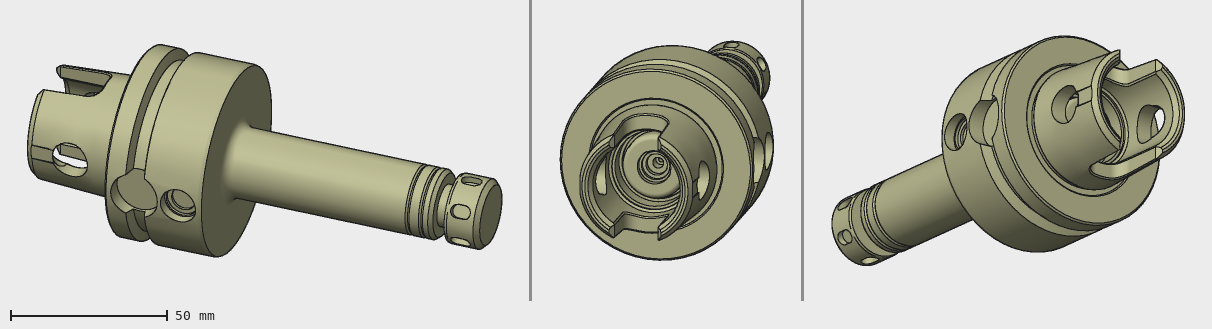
import cadquery as cq


total_length = 152.0
taper_end = 30.4
flange_start = 31.8
flange_end = 64.9
stem_end = 136.2
nut_start = 140.3

taper_base_radius = 20.2
taper_slope = 1 / 18
taper_tip_radius = 17.3
tip_chamfer_length = 2.0
undercut_radius = 19.6
face_relief_radius = 22.0
face_relief_depth = 0.5

flange_radius = 31.5
flange_edge_chamfer = 0.6
flange_rear_chamfer_length = 1.0
flange_rear_chamfer_height = 0.3
groove_center = 42.0
groove_mouth_width = 6.4
groove_floor_width = 4.0
groove_floor_radius = 28.0

stem_radius = 11.5
stem_fillet = 3.2
ring_groove_starts = (127.0, 131.6)
ring_groove_width = 1.4
ring_groove_depth = 0.5
stem_chamfer_length = 1.4
stem_chamfer_height = 1.0
neck_radius = 7.0
nut_radius = stem_radius
nut_rear_chamfer_length = 0.9
nut_rear_chamfer_height = 0.3
nut_front_chamfer = 1.7
wrench_slot_count = 6
wrench_slot_center = 145.5
wrench_slot_length = 6.7
wrench_slot_width = 4.4
wrench_slot_depth = 2.3

bore_radius = 14.3
mouth_radius = 16.4
mouth_lip_radius = 15.5
mouth_lip_length = 0.5
mouth_chamfer_length = 2.3
bore_end = 26.1
middle_bore_radius = 13.4
middle_bore_start = 26.6
inner_bore_radius = 12.5
inner_bore_start = 27.4
inner_bore_end = 33.5
floor_bore_radius = 23.0 / 2
cavity_floor = 35.0
boss_radius = 10.5
boss_height = 6.1
boss_rim_radius = 1.7
boss_bores = ((11.0, 2.3), (9.3, 3.8), (7.0, 6.1), (3.5, 10.6), (1.7, 15.2))

drive_slot_half_width = 7.1
drive_slot_end = 20.2
drive_slot_corner = 4.1
drive_slot_edge_chamfer = 0.5
drive_slot_flare_length = 1.8
drive_slot_flare_height = 1.4

cross_hole_diameter = 12.5
cross_hole_center = 15.2
cross_hole_tilt = 30.0
tilted_hole_diameter = 10.6
tilted_hole_length = 9.1
flat_width = 5.0
flat_radius = 18.4
pocket_diameter = 16.0
pocket_floor = 25.8
screw_hole_center = 57.0
screw_hole_steps = ((12.0, 27.7), (11.0, 26.6), (8.0, 25.7))


def taper_radius(x):
    return taper_base_radius - taper_slope * (taper_end - x)


def revolve_about_x(profile):
    return profile.close().revolve(360, (0, 0, 0), (1, 0, 0))


def cylinder(diameter, y_inner, y_outer, x):
    """Cylinder along +Y between two distances from the axis."""
    return (
        cq.Workplane("XZ", origin=(x, y_inner, 0))
        .circle(diameter / 2)
        .extrude(y_inner - y_outer)
    )


def both_sides(cutter):
    return cutter.union(cutter.rotate((0, 0, 0), (1, 0, 0), 180))


def make_outer_body():
    mouth = groove_mouth_width / 2
    floor = groove_floor_width / 2
    profile = (
        cq.Workplane("XY")
        .moveTo(0, 0)
        .lineTo(0, taper_tip_radius)
        .lineTo(tip_chamfer_length, taper_radius(tip_chamfer_length))
        .lineTo(taper_end, taper_base_radius)
        .lineTo(taper_end + taper_base_radius - undercut_radius, undercut_radius)
        .lineTo(flange_start + face_relief_depth, undercut_radius)
        .lineTo(flange_start + face_relief_depth, face_relief_radius - face_relief_depth)
        .lineTo(flange_start, face_relief_radius)
        .lineTo(flange_start, flange_radius - flange_edge_chamfer)
        .lineTo(flange_start + flange_edge_chamfer, flange_radius)
        .lineTo(groove_center - mouth, flange_radius)
        .lineTo(groove_center - floor, groove_floor_radius)
        .lineTo(groove_center + floor, groove_floor_radius)
        .lineTo(groove_center + mouth, flange_radius)
        .lineTo(flange_end - flange_rear_chamfer_length, flange_radius)
        .lineTo(flange_end, flange_radius - flange_rear_chamfer_height)
        .lineTo(flange_end, stem_radius + stem_fillet)
        .radiusArc((flange_end + stem_fillet, stem_radius), -stem_fillet)
    )
    for start in ring_groove_starts:
        profile = (
            profile.lineTo(start, stem_radius)
            .lineTo(start + ring_groove_width / 2, stem_radius - ring_groove_depth)
            .lineTo(start + ring_groove_width, stem_radius)
        )
    profile = (
        profile.lineTo(stem_end - stem_chamfer_length, stem_radius)
        .lineTo(stem_end, stem_radius - stem_chamfer_height)
        .lineTo(stem_end, neck_radius)
        .lineTo(nut_start, neck_radius)
        .lineTo(nut_start, nut_radius - nut_rear_chamfer_height)
        .lineTo(nut_start + nut_rear_chamfer_length, nut_radius)
        .lineTo(total_length - nut_front_chamfer, nut_radius)
        .lineTo(total_length, nut_radius - nut_front_chamfer)
        .lineTo(total_length, 0)
    )
    return revolve_about_x(profile)


def make_cavity():
    """Stepped bore with a round-rimmed boss standing on its floor."""
    boss_face = cavity_floor - boss_height
    rim_start = boss_radius - boss_rim_radius
    cavity = revolve_about_x(
        cq.Workplane("XY")
        .moveTo(0, 0)
        .lineTo(0, mouth_radius)
        .lineTo(mouth_lip_length, mouth_lip_radius)
        .lineTo(mouth_chamfer_length, bore_radius)
        .lineTo(bore_end, bore_radius)
        .lineTo(middle_bore_start, middle_bore_radius)
        .lineTo(inner_bore_start, middle_bore_radius)
        .lineTo(inner_bore_start, inner_bore_radius)
        .lineTo(inner_bore_end, inner_bore_radius)
        .lineTo(inner_bore_end, floor_bore_radius)
        .lineTo(cavity_floor, floor_bore_radius)
        .lineTo(cavity_floor, boss_radius)
        .lineTo(boss_face + boss_rim_radius, boss_radius)
        .radiusArc((boss_face, rim_start), -boss_rim_radius)
        .lineTo(boss_face, 0)
    )
    for diameter, depth in boss_bores:
        bore = cq.Workplane("YZ", origin=(boss_face, 0, 0)).circle(diameter / 2).extrude(depth)
        cavity = cavity.union(bore)
    return cavity


def make_drive_slot():
    """Slot across the taper along Z, flared at the open end."""
    half = drive_slot_half_width
    flared = half + drive_slot_flare_height
    return (
        cq.Workplane("XY", origin=(0, 0, -flange_radius))
        .moveTo(0, -flared)
        .lineTo(drive_slot_flare_length, -half)
        .lineTo(drive_slot_end, -half)
        .lineTo(drive_slot_end, half)
        .lineTo(drive_slot_flare_length, half)
        .lineTo(0, flared)
        .close()
        .extrude(2 * flange_radius)
        .edges("|Z and >X")
        .fillet(drive_slot_corner)
    )


def make_cross_hole():
    hole = cylinder(cross_hole_diameter, 0, flange_radius, cross_hole_center)
    flat = cq.Workplane("XY").box(
        cross_hole_center, flange_radius, flat_width, centered=(False, False, True)
    )
    pivot = (cross_hole_center, flat_radius, 0)
    pivot_axis_end = (cross_hole_center, flat_radius, 1)
    tilted = cylinder(
        tilted_hole_diameter, flat_radius - tilted_hole_length, flat_radius, cross_hole_center
    ).rotate(pivot, pivot_axis_end, -cross_hole_tilt)
    return both_sides(hole.union(tilted).union(flat.translate((0, flat_radius, 0))))


def make_flange_pocket():
    return both_sides(cylinder(pocket_diameter, pocket_floor, flange_radius, groove_center))


def make_screw_hole():
    hole = cq.Workplane("XY")
    for diameter, floor in screw_hole_steps:
        hole = hole.union(cylinder(diameter, floor, flange_radius, screw_hole_center))
    return both_sides(hole)


def make_wrench_slots():
    slot = (
        cq.Workplane("XY", origin=(wrench_slot_center, 0, nut_radius - wrench_slot_depth))
        .slot2D(wrench_slot_length, wrench_slot_width)
        .extrude(2 * wrench_slot_depth)
    )
    slots = cq.Workplane("XY")
    for index in range(wrench_slot_count):
        slots = slots.add(slot.rotate((0, 0, 0), (1, 0, 0), index * 360 / wrench_slot_count))
    return slots.combine()


def chamfer_drive_slot(body):
    """Break the outer and inner rims of the drive slot behind its flare."""
    slot_region = cq.selectors.BoxSelector(
        (2 * drive_slot_flare_length, -flange_radius, -flange_radius),
        (drive_slot_end + drive_slot_edge_chamfer, flange_radius, flange_radius),
    )
    slot_edges = body.edges(slot_region).edges("not |Z")
    return slot_edges.chamfer(drive_slot_edge_chamfer)


slotted_body = make_outer_body().cut(make_cavity()).cut(make_drive_slot())

result = (
    chamfer_drive_slot(slotted_body)
    .cut(make_cross_hole())
    .cut(make_flange_pocket())
    .cut(make_screw_hole())
    .cut(make_wrench_slots())
)